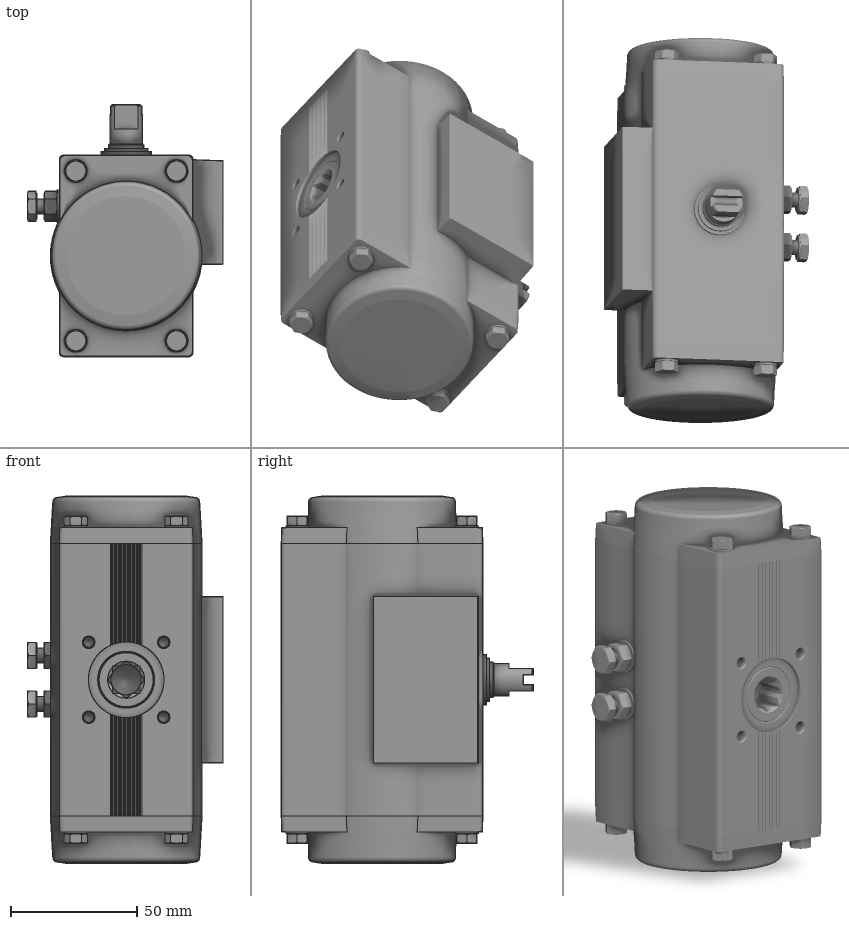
import cadquery as cq
import math


OVERALL_Z = 145.7

HOUSING_X = 53.0
HOUSING_Y = 80.0
HOUSING_Z = 108.1
BARREL_DIAMETER = 60.2
BARREL_RADIUS = BARREL_DIAMETER / 2
CORNER_RADIUS = 1.9
BARREL_FILLET = 1.7
FACE_X = HOUSING_X / 2
FACE_Y = HOUSING_Y / 2
END_Z = HOUSING_Z / 2

BLOCK_OUTER_X = 38.5
BLOCK_Y_HIGH = 38.2
BLOCK_Y_LOW = -3.4
BLOCK_TAPER = 0.5
BLOCK_Z = 65.9
BLOCK_EDGE_FILLET = 0.6

RECESS_DIAMETER = 30.0
RECESS_DEPTH = 1.5
FLOOR_Y = RECESS_DEPTH - FACE_Y
MOUNT_HOLE_OFFSET = 14.9
MOUNT_HOLE_DIAMETER = 4.1
MOUNT_HOLE_MOUTH = 5.0
MOUNT_HOLE_DEPTH = 7.3
GROOVE_COUNT = 14
GROOVE_PITCH = 0.89
GROOVE_DEPTH = GROOVE_PITCH / 2
DRILL_POINT_ANGLE = 118.0

HEX_CHAMFER_ANGLE = 30.0

FLANGE_THICKNESS = 6.3
FLANGE_DRAFT_ANGLE = 2.0
CAP_HEIGHT = OVERALL_Z / 2 - END_Z
DOME_FOOT_RADIUS = 29.7
DOME_FOOT_RISE = 0.5
DOME_FOOT_HEIGHT = FLANGE_THICKNESS + DOME_FOOT_RISE
DOME_SHOULDER_RADIUS = 29.1
DOME_SHOULDER_DROP = 2.3
CROWN_OUTER_RADIUS = 27.2
CROWN_DROP = 0.6
CROWN_FLAT_RADIUS = 23.6
BOLT_X = 20.0
BOLT_Y = 33.7
BOLT_WASHER_DIAMETER = 9.0
BOLT_WASHER_THICKNESS = 0.7
BOLT_HEX_CORNERS = 9.2
BOLT_HEX_HEIGHT = 3.8

JOURNAL_DIAMETER = 22.0
JOURNAL_CHAMFER = 0.3
BORE_CHAMFER = 0.3
JOURNAL_END_Y = 29.1
COLLAR_DIAMETER = 20.0
COLLAR_HEIGHT = 1.3
STEP_DIAMETER = 17.3
STEP_HEIGHT = 1.3
CLIP_DIAMETER = 14.0
CLIP_HEIGHT = 1.3
STUB_DIAMETER = 13.0
STUB_LENGTH = 20.0
STUB_CHAMFER = 0.6
STUB_FLATS = 9.0
STUB_FLATS_LENGTH = 9.6
STUB_SLOT_WIDTH = 4.0
STUB_SLOT_DEPTH = 4.0
SOCKET_FLATS = 11.0
SOCKET_TIP_DIAMETER = 14.0
SOCKET_MOUTH_DIAMETER = 14.7
SOCKET_DEPTH = 13.1
SOCKET_DRILL_DIAMETER = 12.0

SCREW_Y = 19.7
SCREW_Z = 9.6
SCREW_HEX_CORNERS = 12.0
SCREW_DIAMETER = 6.0
SCREW_TIP_X = -39.2
SCREW_HEAD_HEIGHT = 3.4
SCREW_NECK_DIAMETER = 10.0
SCREW_NECK_HEIGHT = 0.6
SCREW_END_X = -20.4
NUT_OUTER_X = -32.5
NUT_WASHER_DIAMETER = 13.0
NUT_WASHER_THICKNESS = 0.9


def y_plane(y):
    """Work plane at the given Y, facing +Y, with its local x along X."""
    return cq.Workplane(cq.Plane(origin=(0, y, 0), xDir=(1, 0, 0), normal=(0, 1, 0)))


def x_plane(x, y, z):
    """Work plane centred at the given point, facing +X, with its local x along Y."""
    return cq.Workplane(cq.Plane(origin=(x, y, z), xDir=(0, 1, 0), normal=(1, 0, 0)))


def turned_about_y(profile):
    """Solid of revolution about the Y axis from (radius, y) points."""
    return cq.Workplane("XY").polyline(profile).close().revolve(360, (0, 0, 0), (0, 1, 0))


def drill_point(diameter):
    """Length of the conical tip of a drilled hole."""
    return diameter / 2 / math.tan(math.radians(DRILL_POINT_ANGLE / 2))


def chamfered_hexagon(plane, corners, height, both_ends=False):
    """Hexagonal prism whose corners are turned down to a cone at the far end, or at both ends."""
    flat_radius = corners / 2 * math.cos(math.pi / 6)
    corner_radius = corners / 2
    drop = (corner_radius - flat_radius) * math.tan(math.radians(HEX_CHAMFER_ANGLE))
    prism = plane.polygon(6, corners).extrude(height)
    turned = plane.circle(corner_radius).extrude(height)
    ends = turned.faces(cq.selectors.DirectionMinMaxSelector(plane.plane.zDir, True)).edges()
    turned = ends.chamfer(drop, corner_radius - flat_radius)
    if both_ends:
        ends = turned.faces(cq.selectors.DirectionMinMaxSelector(plane.plane.zDir, False)).edges()
        turned = ends.chamfer(drop, corner_radius - flat_radius)
    return prism.intersect(turned)


def connection_block():
    outline = [
        (0, BLOCK_Y_LOW),
        (BLOCK_OUTER_X, BLOCK_Y_LOW),
        (BLOCK_OUTER_X, BLOCK_Y_HIGH - BLOCK_TAPER),
        (FACE_X, BLOCK_Y_HIGH),
        (0, BLOCK_Y_HIGH),
    ]
    block = cq.Workplane("XY").polyline(outline).close().extrude(BLOCK_Z / 2, both=True)
    return block.edges("|Z and >X and <Y").fillet(BLOCK_EDGE_FILLET)


def serration():
    """Row of adjoining V grooves that run along Z in the -Y face."""
    start_x = -GROOVE_COUNT * GROOVE_PITCH / 2
    profile = [(start_x, -FACE_Y)]
    for i in range(GROOVE_COUNT):
        ridge_x = start_x + i * GROOVE_PITCH
        profile.append((ridge_x + GROOVE_PITCH / 2, GROOVE_DEPTH - FACE_Y))
        profile.append((ridge_x + GROOVE_PITCH, -FACE_Y))
    profile.append((-start_x, -FACE_Y - GROOVE_DEPTH))
    profile.append((start_x, -FACE_Y - GROOVE_DEPTH))
    return cq.Workplane("XY").polyline(profile).close().extrude(END_Z, both=True)


def mounting_hole(x, z):
    mouth = (MOUNT_HOLE_MOUTH - MOUNT_HOLE_DIAMETER) / 2
    radius = MOUNT_HOLE_DIAMETER / 2
    profile = [
        (0, 0),
        (MOUNT_HOLE_MOUTH / 2, 0),
        (radius, mouth),
        (radius, MOUNT_HOLE_DEPTH),
        (0, MOUNT_HOLE_DEPTH + drill_point(MOUNT_HOLE_DIAMETER)),
    ]
    hole = turned_about_y(profile)
    return hole.translate((x, -FACE_Y, z))


def shaft_bore():
    """Stepped through bore for the pinion shaft, chamfered at its -Y mouth."""
    journal_radius = JOURNAL_DIAMETER / 2
    profile = [
        (0, FLOOR_Y),
        (journal_radius + BORE_CHAMFER, FLOOR_Y),
        (journal_radius, FLOOR_Y + BORE_CHAMFER),
        (journal_radius, JOURNAL_END_Y),
        (COLLAR_DIAMETER / 2, JOURNAL_END_Y),
        (COLLAR_DIAMETER / 2, FACE_Y),
        (0, FACE_Y),
    ]
    return turned_about_y(profile)


def make_housing():
    housing = cq.Workplane("XY").box(HOUSING_X, HOUSING_Y, HOUSING_Z).edges("|Z").fillet(CORNER_RADIUS)
    housing = housing.union(cq.Workplane("XY").circle(BARREL_RADIUS).extrude(END_Z, both=True))
    seam_y = math.sqrt(BARREL_RADIUS**2 - FACE_X**2)
    for x in (-FACE_X, FACE_X):
        for y in (-seam_y, seam_y):
            seam = cq.selectors.NearestToPointSelector((x, y, 0))
            housing = housing.edges(seam).fillet(BARREL_FILLET)
    housing = housing.union(connection_block())

    housing = housing.cut(serration())
    housing = housing.cut(y_plane(-FACE_Y).circle(RECESS_DIAMETER / 2).extrude(RECESS_DEPTH))
    for x in (-MOUNT_HOLE_OFFSET, MOUNT_HOLE_OFFSET):
        for z in (-MOUNT_HOLE_OFFSET, MOUNT_HOLE_OFFSET):
            housing = housing.cut(mounting_hole(x, z))
    housing = housing.cut(shaft_bore())

    for z in (-SCREW_Z, SCREW_Z):
        seat = x_plane(-FACE_X, SCREW_Y, z)
        housing = housing.cut(seat.circle(NUT_WASHER_DIAMETER / 2).extrude(NUT_OUTER_X + FACE_X))
        housing = housing.cut(seat.circle(SCREW_DIAMETER / 2).extrude(SCREW_END_X + FACE_X))
    return housing


def cap_dome():
    profile = (
        cq.Workplane("XZ")
        .lineTo(BARREL_RADIUS, 0)
        .lineTo(DOME_FOOT_RADIUS, DOME_FOOT_HEIGHT)
        .lineTo(DOME_SHOULDER_RADIUS, CAP_HEIGHT - DOME_SHOULDER_DROP)
        .tangentArcPoint((CROWN_OUTER_RADIUS, CAP_HEIGHT - CROWN_DROP), relative=False)
        .lineTo(CROWN_FLAT_RADIUS, CAP_HEIGHT)
        .lineTo(0, CAP_HEIGHT)
        .close()
    )
    return profile.revolve(360, (0, 0, 0), (0, 1, 0))


def cap_bolt(x, y):
    washer = cq.Workplane("XY").circle(BOLT_WASHER_DIAMETER / 2).extrude(BOLT_WASHER_THICKNESS)
    head_plane = cq.Workplane("XY").workplane(offset=BOLT_WASHER_THICKNESS)
    head = chamfered_hexagon(head_plane, BOLT_HEX_CORNERS, BOLT_HEX_HEIGHT, both_ends=True)
    return washer.union(head).translate((x, y, FLANGE_THICKNESS))


def make_end_cap(side):
    """Cap with its four bolts, on the +Z end (side = 1) or the -Z end (side = -1)."""
    cap = cq.Workplane("XY").rect(HOUSING_X, HOUSING_Y).extrude(FLANGE_THICKNESS, taper=FLANGE_DRAFT_ANGLE)
    cap = cap.edges("not(|X or |Y)").fillet(CORNER_RADIUS).union(cap_dome())
    for x in (-BOLT_X, BOLT_X):
        for y in (-BOLT_Y, BOLT_Y):
            cap = cap.union(cap_bolt(x, y))
    cap = cap.translate((0, 0, END_Z))
    return cap if side > 0 else cap.mirror("XY")


def socket():
    """Double-square socket with a countersunk mouth and a drilled bottom.

    One square is sharp; the other is turned 45 degrees and has its corners rounded.
    """
    square = y_plane(FLOOR_Y).rect(SOCKET_FLATS, SOCKET_FLATS).extrude(SOCKET_DEPTH)
    tip_circle = y_plane(FLOOR_Y).circle(SOCKET_TIP_DIAMETER / 2).extrude(SOCKET_DEPTH)
    star = square.union(square.rotate((0, 0, 0), (0, 1, 0), 45).intersect(tip_circle))
    mouth_radius = SOCKET_MOUTH_DIAMETER / 2
    mouth_profile = [(0, FLOOR_Y), (mouth_radius, FLOOR_Y), (0, FLOOR_Y + mouth_radius)]
    mouth = turned_about_y(mouth_profile)
    bottom_y = FLOOR_Y + SOCKET_DEPTH
    tip = [
        (0, bottom_y),
        (SOCKET_DRILL_DIAMETER / 2, bottom_y),
        (0, bottom_y + drill_point(SOCKET_DRILL_DIAMETER)),
    ]
    cone = turned_about_y(tip)
    return star.union(mouth).union(cone)


def make_shaft():
    collar_y = FACE_Y + COLLAR_HEIGHT
    step_y = collar_y + STEP_HEIGHT
    clip_y = step_y + CLIP_HEIGHT
    clip_chamfer = (CLIP_DIAMETER - STUB_DIAMETER) / 2
    tip_y = FACE_Y + STUB_LENGTH
    profile = [
        (0, FLOOR_Y),
        (JOURNAL_DIAMETER / 2 - JOURNAL_CHAMFER, FLOOR_Y),
        (JOURNAL_DIAMETER / 2, FLOOR_Y + JOURNAL_CHAMFER),
        (JOURNAL_DIAMETER / 2, JOURNAL_END_Y),
        (COLLAR_DIAMETER / 2, JOURNAL_END_Y),
        (COLLAR_DIAMETER / 2, collar_y),
        (STEP_DIAMETER / 2, collar_y),
        (STEP_DIAMETER / 2, step_y),
        (CLIP_DIAMETER / 2, step_y),
        (CLIP_DIAMETER / 2, clip_y),
        (STUB_DIAMETER / 2, clip_y + clip_chamfer),
        (STUB_DIAMETER / 2, tip_y - STUB_CHAMFER),
        (STUB_DIAMETER / 2 - STUB_CHAMFER, tip_y),
        (0, tip_y),
    ]
    shaft = turned_about_y(profile)

    flats_plane = y_plane(tip_y - STUB_FLATS_LENGTH)
    waste = flats_plane.rect(2 * STUB_DIAMETER, 2 * STUB_DIAMETER).rect(2 * STUB_DIAMETER, STUB_FLATS)
    shaft = shaft.cut(waste.extrude(STUB_FLATS_LENGTH))
    slot_plane = y_plane(tip_y - STUB_SLOT_DEPTH)
    slot = slot_plane.rect(2 * STUB_DIAMETER, STUB_SLOT_WIDTH).extrude(STUB_SLOT_DEPTH)
    return shaft.cut(slot).cut(socket())


def make_screw(z):
    neck_x = SCREW_TIP_X + SCREW_HEAD_HEIGHT
    shank_x = neck_x + SCREW_NECK_HEIGHT
    head_plane = cq.Workplane(cq.Plane(origin=(neck_x, SCREW_Y, z), xDir=(0, 1, 0), normal=(-1, 0, 0)))
    head = chamfered_hexagon(head_plane, SCREW_HEX_CORNERS, SCREW_HEAD_HEIGHT)
    neck = x_plane(neck_x, SCREW_Y, z).circle(SCREW_NECK_DIAMETER / 2).extrude(SCREW_NECK_HEIGHT)
    shank = x_plane(shank_x, SCREW_Y, z).circle(SCREW_DIAMETER / 2).extrude(SCREW_END_X - shank_x)
    return head.union(neck).union(shank)


def make_nut(z):
    washer_x = -FACE_X - NUT_WASHER_THICKNESS
    hex_plane = x_plane(NUT_OUTER_X, SCREW_Y, z)
    nut = chamfered_hexagon(hex_plane, SCREW_HEX_CORNERS, washer_x - NUT_OUTER_X, both_ends=True)
    washer = x_plane(washer_x, SCREW_Y, z).circle(NUT_WASHER_DIAMETER / 2).extrude(NUT_WASHER_THICKNESS)
    hole = hex_plane.circle(SCREW_DIAMETER / 2).extrude(-FACE_X - NUT_OUTER_X)
    return nut.union(washer).cut(hole)


housing = make_housing()
shaft = make_shaft()
end_caps = [make_end_cap(side) for side in (1, -1)]
screws = [make_screw(z) for z in (SCREW_Z, -SCREW_Z)]
nuts = [make_nut(z) for z in (SCREW_Z, -SCREW_Z)]

bodies = [housing, shaft, *end_caps, *screws, *nuts]
result = cq.Compound.makeCompound([body.solids().val() for body in bodies])